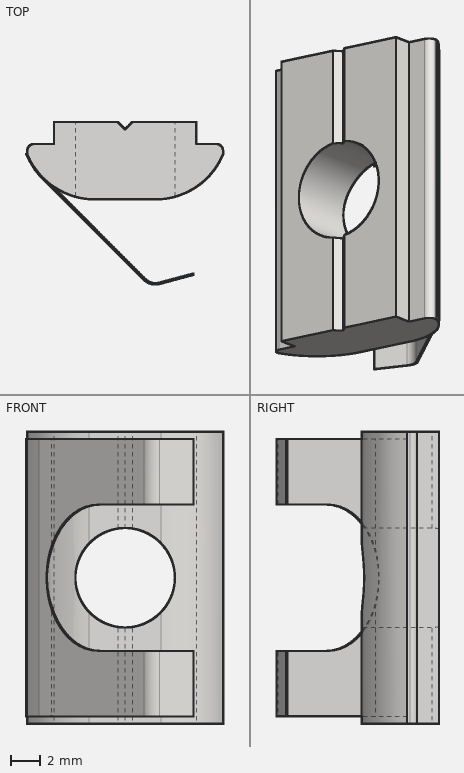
import cadquery as cq
import math

LENGTH = 20.0
HALF_WIDTH = 6.718
BODY_DEPTH = 5.3
NECK_HALF_WIDTH = 4.88
NECK_DEPTH = 1.5
LIP_RADIUS = 0.5
FLANK_START_DEPTH = 2.2
FLANK_RADIUS = 5.0
FLAT_HALF_WIDTH = 2.47
NOTCH_SIZE = 0.5
HOLE_DIAMETER = 6.8

SHEET_THICKNESS = 0.1
SPRING_LENGTH = 19.0
OVERALL_DEPTH = 11.14
HUG_OUTER_RADIUS = FLANK_RADIUS + SHEET_THICKNESS / 2
HUG_END_ANGLE = 221.2
ARM_ANGLE = -45.0
TIP_ANGLE = 15.0
BEND_OUTER_RADIUS = 1.1
TIP_LENGTH = 2.42

OPENING_RADIUS = 5.0
OPENING_CENTER_Y = -7.68
OPENING_RUN = 12.0
OPENING_CUT_DEPTH = 4.0


def polar(center, radius, angle):
    """Point at a radius and an angle in degrees from a center."""
    turn = math.radians(angle)
    return (center[0] + radius * math.cos(turn), center[1] + radius * math.sin(turn))


def flank_center():
    """Center of the -X flank arc, from its two end points and its radius."""
    side = (-HALF_WIDTH, -FLANK_START_DEPTH)
    front = (-FLAT_HALF_WIDTH, -BODY_DEPTH)
    dx = front[0] - side[0]
    dy = front[1] - side[1]
    chord = math.hypot(dx, dy)
    rise = math.sqrt(FLANK_RADIUS ** 2 - (chord / 2) ** 2)
    mid_x = (side[0] + front[0]) / 2
    mid_y = (side[1] + front[1]) / 2
    return (mid_x - dy / chord * rise, mid_y + dx / chord * rise)


FLANK_CENTER = flank_center()
HUG_END = polar(FLANK_CENTER, HUG_OUTER_RADIUS, HUG_END_ANGLE)


def extrude_centered(profile, length):
    """Extrude an XY profile by a length, half to each side of Z = 0."""
    return profile.extrude(length / 2, both=True)


def make_body():
    half_section = (
        cq.Workplane("XY")
        .moveTo(0, -NOTCH_SIZE)
        .lineTo(-NOTCH_SIZE, 0)
        .lineTo(-NECK_HALF_WIDTH, 0)
        .lineTo(-NECK_HALF_WIDTH, -NECK_DEPTH)
        .lineTo(-HALF_WIDTH + LIP_RADIUS, -NECK_DEPTH)
        .radiusArc((-HALF_WIDTH, -NECK_DEPTH - LIP_RADIUS), -LIP_RADIUS)
        .lineTo(-HALF_WIDTH, -FLANK_START_DEPTH)
        .radiusArc((-FLAT_HALF_WIDTH, -BODY_DEPTH), -FLANK_RADIUS)
        .lineTo(0, -BODY_DEPTH)
        .close()
    )
    half = extrude_centered(half_section, LENGTH)
    body = half.union(half.mirror("YZ")).clean()
    hole = cq.Workplane("XZ").circle(HOLE_DIAMETER / 2).extrude(BODY_DEPTH)
    return body.cut(hole)


def arm_point(y):
    """Point at a given Y on the outer face of the straight arm."""
    return (HUG_END[0] + (y - HUG_END[1]) / math.tan(math.radians(ARM_ANGLE)), y)


def spring_bend_center():
    """Center of the bend, tangent to the arm and reaching the overall depth."""
    center_y = -OVERALL_DEPTH + BEND_OUTER_RADIUS
    reach_x, reach_y = polar((0, 0), BEND_OUTER_RADIUS, ARM_ANGLE - 90)
    return (arm_point(center_y + reach_y)[0] - reach_x, center_y)


def spring_edge(inset):
    """Points along one face of the sheet, at a distance inside its outer face."""
    hug_radius = HUG_OUTER_RADIUS - inset
    bend_radius = BEND_OUTER_RADIUS - inset
    start_rise = -FLANK_START_DEPTH - FLANK_CENTER[1]
    start_angle = 180 - math.degrees(math.asin(start_rise / hug_radius))

    bend_start_angle = ARM_ANGLE - 90
    bend_end_angle = TIP_ANGLE - 90
    bend_center = spring_bend_center()
    bend_end = polar(bend_center, bend_radius, bend_end_angle)
    return {
        "hug_start": polar(FLANK_CENTER, hug_radius, start_angle),
        "hug_mid": polar(FLANK_CENTER, hug_radius, (start_angle + HUG_END_ANGLE) / 2),
        "hug_end": polar(FLANK_CENTER, hug_radius, HUG_END_ANGLE),
        "bend_start": polar(bend_center, bend_radius, bend_start_angle),
        "bend_mid": polar(bend_center, bend_radius, (bend_start_angle + bend_end_angle) / 2),
        "bend_end": bend_end,
        "tip": polar(bend_end, TIP_LENGTH, TIP_ANGLE),
    }


def make_opening():
    arm_direction = polar((0, 0), 1, ARM_ANGLE)
    arm_normal = polar((0, 0), 1, ARM_ANGLE - 90)
    center_x, center_y = arm_point(OPENING_CENTER_Y)
    arm_plane = cq.Plane(
        origin=(center_x, center_y, 0),
        xDir=(arm_direction[0], arm_direction[1], 0),
        normal=(arm_normal[0], arm_normal[1], 0),
    )
    return (
        cq.Workplane(arm_plane)
        .moveTo(OPENING_RUN, OPENING_RADIUS)
        .lineTo(0, OPENING_RADIUS)
        .threePointArc((-OPENING_RADIUS, 0), (0, -OPENING_RADIUS))
        .lineTo(OPENING_RUN, -OPENING_RADIUS)
        .close()
        .extrude(OPENING_CUT_DEPTH, both=True)
    )


def make_spring():
    outer = spring_edge(0)
    inner = spring_edge(SHEET_THICKNESS)
    section = (
        cq.Workplane("XY")
        .moveTo(*outer["hug_start"])
        .threePointArc(outer["hug_mid"], outer["hug_end"])
        .lineTo(*outer["bend_start"])
        .threePointArc(outer["bend_mid"], outer["bend_end"])
        .lineTo(*outer["tip"])
        .lineTo(*inner["tip"])
        .lineTo(*inner["bend_end"])
        .threePointArc(inner["bend_mid"], inner["bend_start"])
        .lineTo(*inner["hug_end"])
        .threePointArc(inner["hug_mid"], inner["hug_start"])
        .close()
    )
    return extrude_centered(section, SPRING_LENGTH).cut(make_opening())


result = make_body().union(make_spring())